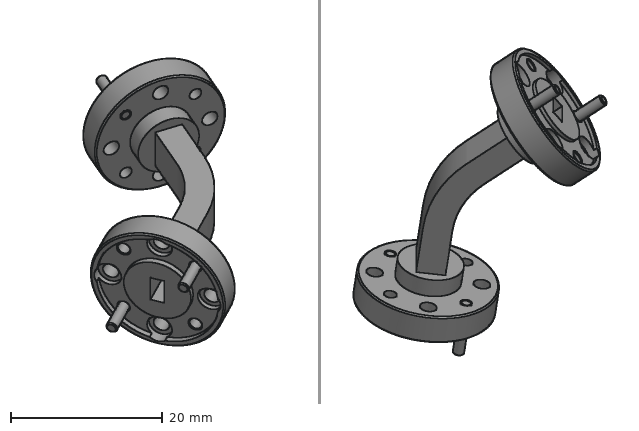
import cadquery as cq
import math

bend_angle = 45.0
bend_radius = 12.95
arm_length = 13.72

duct_width = 1.95
duct_height = 3.85
wall = 1.0
tube_width = duct_width + 2 * wall
tube_height = duct_height + 2 * wall

flange_diameter = 19.05
flange_thickness = 4.1
flange_chamfer = 0.2
rim_inner_radius = 8.65
contact_radius = 4.75
near_recess_depth = 0.5
far_recess_depth = 0.8
collar_radius = 4.45
collar_length = 2.55

bolt_circle_radius = 7.15
screw_hole_radius = 1.12
counterbore_radius = 1.75
counterbore_depth = 1.55
screw_angles = (0, 90, 180, 270)
alignment_hole_radius = 0.85
alignment_hole_angles = (45, 225)
mouth_chamfer = 0.15
mouth_angle = 45

pin_radius = 0.78
pin_protrusion = 3.85
pin_chamfer = 0.17
pin_angles = (135, 315)


def disc(radius, start, end, angle=None, taper=0):
    """Cylinder along X, or a cone that narrows towards +X when a taper in degrees is given.

    It is centred on the flange axis, or on the bolt circle at an angle from +Y towards +Z.
    """
    plane = cq.Workplane("YZ", origin=(start, 0, 0))
    if angle is not None:
        turn = math.radians(angle)
        plane = plane.center(bolt_circle_radius * math.cos(turn), bolt_circle_radius * math.sin(turn))
    return plane.circle(radius).extrude(end - start, taper=taper)


def chamfered_hole(radius, angle, recess_depth):
    """Cutter for a hole from the recess floor to the flange back, with a chamfered mouth."""
    hole = disc(radius, recess_depth, flange_thickness, angle)
    mouth_end = recess_depth + mouth_chamfer
    mouth = disc(radius + mouth_chamfer, recess_depth, mouth_end, angle, taper=mouth_angle)
    return hole.union(mouth)


def make_flange(recess_depth):
    """Flange with its face on X = 0 and its collar towards +X."""
    flange = disc(flange_diameter / 2, 0, flange_thickness).edges().chamfer(flange_chamfer)
    recess = disc(rim_inner_radius, 0, recess_depth).cut(disc(contact_radius, 0, recess_depth))
    flange = flange.cut(recess)
    for angle in screw_angles:
        flange = flange.cut(disc(screw_hole_radius, 0, flange_thickness, angle))
        flange = flange.cut(disc(counterbore_radius, 0, counterbore_depth, angle))
    for angle in alignment_hole_angles:
        flange = flange.cut(chamfered_hole(alignment_hole_radius, angle, recess_depth))
    for angle in pin_angles:
        flange = flange.cut(chamfered_hole(pin_radius, angle, recess_depth))
    collar = disc(collar_radius, flange_thickness, flange_thickness + collar_length)
    return flange.union(collar)


def make_pin(angle):
    """Pin through the flange whose face lies on X = 0, chamfered at both ends."""
    pin = disc(pin_radius, -pin_protrusion, flange_thickness, angle)
    return pin.faces("<X or >X").chamfer(pin_chamfer)


bend = math.radians(bend_angle)
half_bend = bend / 2
bend_middle = (
    arm_length + bend_radius * math.sin(half_bend),
    -bend_radius * (1 - math.cos(half_bend)),
)
bend_end = (
    arm_length + bend_radius * math.sin(bend),
    -bend_radius * (1 - math.cos(bend)),
)
far_face = (
    bend_end[0] + arm_length * math.cos(bend),
    bend_end[1] - arm_length * math.sin(bend),
)


def sweep_along_path(width, height):
    """Rectangular bar that follows the centreline from one flange face to the other."""
    path = (
        cq.Workplane("XY")
        .lineTo(arm_length, 0)
        .threePointArc(bend_middle, bend_end)
        .lineTo(*far_face)
    )
    return cq.Workplane("YZ").rect(width, height).sweep(path)


def move_to_far_end(body):
    """Carry a body from the near flange to the far flange, facing outwards."""
    turned = body.rotate((0, 0, 0), (0, 0, 1), 180 - bend_angle)
    return turned.translate((far_face[0], far_face[1], 0))


near_flange = make_flange(near_recess_depth)
far_flange = move_to_far_end(make_flange(far_recess_depth))
waveguide = (
    sweep_along_path(tube_width, tube_height)
    .union(near_flange)
    .union(far_flange)
    .cut(sweep_along_path(duct_width, duct_height))
)

near_pins = [make_pin(angle) for angle in pin_angles]
far_pins = [move_to_far_end(pin) for pin in near_pins]

result = cq.Compound.makeCompound([waveguide.val(), *[pin.val() for pin in near_pins + far_pins]])